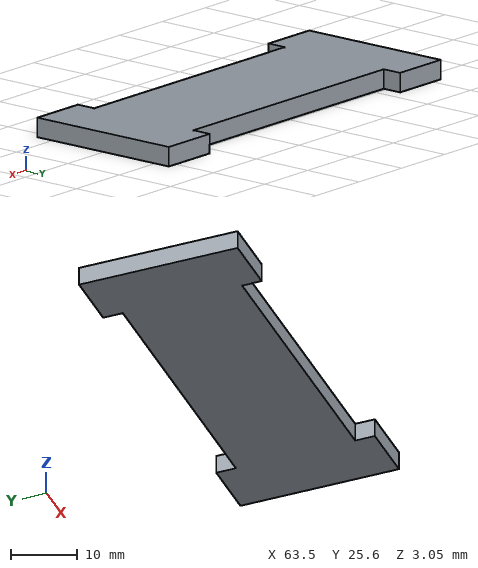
import cadquery as cq

length = 63.5
width = 25.65
thickness = 3.05
tab_length = 9.525
notch_depth = 3.175

notch_length = length - 2 * tab_length


def make_plate():
    """Flat rectangular plate centred on the origin."""
    return cq.Workplane("XY").box(length, width, thickness)


def make_side_notch(side):
    """Full-thickness block to remove from the long edge on the given Y side (+1 or -1)."""
    center_y = side * (width - notch_depth) / 2
    return (
        cq.Workplane("XY")
        .box(notch_length, notch_depth, thickness)
        .translate((0, center_y, 0))
    )


result = make_plate()
for side in (-1, 1):
    result = result.cut(make_side_notch(side))